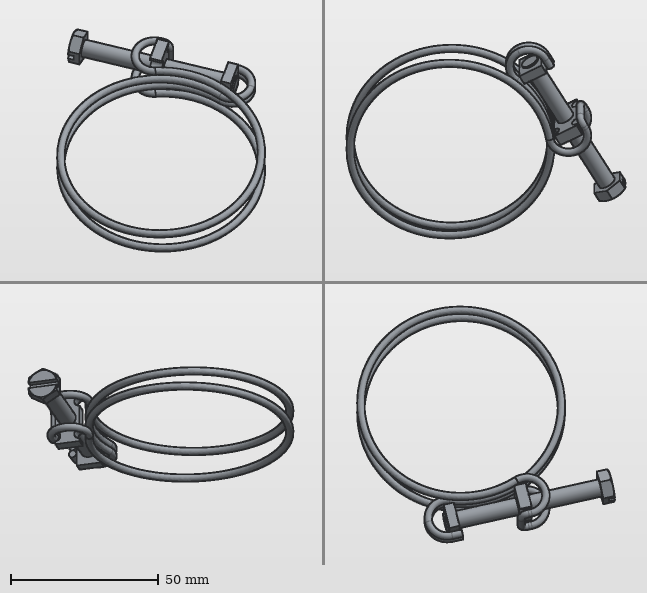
import cadquery as cq
import math


wire_radius = 1.3
coil_radius = 34.0
hook_radius = 6.475
junction_angle = 20.0
outer_level = 6.1
inner_level = wire_radius
tail_length = 3.7
yoke_bend_radius = 2.45
yoke_cross_x = -10.4

hook_x = (coil_radius + hook_radius) * math.sin(math.radians(junction_angle))
hook_y = (coil_radius + hook_radius) * math.cos(math.radians(junction_angle))
hook_top_y = hook_y + hook_radius
junction_x = coil_radius * math.sin(math.radians(junction_angle))
junction_y = coil_radius * math.cos(math.radians(junction_angle))

block_width = 8.6
block_top_y = hook_top_y - wire_radius
block_y = block_top_y - block_width / 2
saddle_x = -14.35
saddle_thickness = 4.1
saddle_height = 18.0
groove_radius = 1.8
nut_x = 10.75
nut_thickness = 3.5
nut_height = 11.2

screw_y = block_y
shank_diameter = 6.0
shank_length = 54.0
overall_length = 78.52
head_x = coil_radius + wire_radius - overall_length
head_thickness = 4.1
head_flats = 10.0
head_corners = head_flats / math.cos(math.pi / 6)
head_chamfer_angle = 30.0
slot_width = 2.0
slot_depth = 2.1


def wire_along(path, start, direction):
    """Round wire swept along a path, starting square to the given direction."""
    section = cq.Plane(origin=start, xDir=(0, 0, 1), normal=direction)
    return cq.Workplane(section).circle(wire_radius).sweep(path)


def make_coil():
    """Upper coil: rises from the nut-end hook, round more than one turn to the yoke."""
    turn_angle = 360 + 2 * junction_angle
    rise = outer_level - inner_level
    pitch = rise * 360 / turn_angle
    start_angle = 90 - junction_angle
    helix = cq.Wire.makeHelix(pitch, rise, coil_radius)
    coil = (
        cq.Workplane("XZ")
        .center(coil_radius, 0)
        .circle(wire_radius)
        .sweep(cq.Workplane(obj=helix), isFrenet=True)
    )
    return coil.rotate((0, 0, 0), (0, 0, 1), start_angle).translate((0, 0, inner_level))


def make_nut_hook():
    """Hook from the coil junction round to the straight tail across the nut plate."""
    bend = math.radians((junction_angle - 90) / 2)
    path = (
        cq.Workplane("XY", origin=(0, 0, inner_level))
        .moveTo(hook_x - tail_length, hook_top_y)
        .lineTo(hook_x, hook_top_y)
        .radiusArc((hook_x + hook_radius, hook_y), hook_radius)
        .threePointArc(
            (hook_x + hook_radius * math.cos(bend), hook_y + hook_radius * math.sin(bend)),
            (junction_x, junction_y),
        )
    )
    return wire_along(path, (hook_x - tail_length, hook_top_y, inner_level), (1, 0, 0))


def make_wire():
    """One wire: a coil running into its hook at the nut plate."""
    return make_coil().union(make_nut_hook())


def make_yoke():
    """Two hooks behind the saddle block, joined by a cross bar along Z."""
    arm_path = (
        cq.Workplane("XY", origin=(0, 0, outer_level))
        .moveTo(-junction_x, junction_y)
        .threePointArc((-hook_x - hook_radius, hook_y), (-hook_x, hook_top_y))
        .lineTo(yoke_cross_x - yoke_bend_radius, hook_top_y)
    )
    along_junction = (
        -math.cos(math.radians(junction_angle)),
        -math.sin(math.radians(junction_angle)),
        0,
    )
    arm = wire_along(arm_path, (-junction_x, junction_y, outer_level), along_junction)

    bend_start_x = yoke_cross_x - yoke_bend_radius
    bend_end_z = outer_level - yoke_bend_radius
    bend_mid = yoke_bend_radius / math.sqrt(2)
    cross_path = (
        cq.Workplane("XZ", origin=(0, hook_top_y, 0))
        .moveTo(bend_start_x, outer_level)
        .threePointArc((bend_start_x + bend_mid, bend_end_z + bend_mid), (yoke_cross_x, bend_end_z))
        .lineTo(yoke_cross_x, -bend_end_z)
        .threePointArc((bend_start_x + bend_mid, -bend_end_z - bend_mid), (bend_start_x, -outer_level))
    )
    cross_bar = wire_along(cross_path, (bend_start_x, hook_top_y, outer_level), (1, 0, 0))
    return cross_bar.union(arm).union(arm.mirror("XY"))


def make_block(x, thickness, height):
    """Block across the screw, with a round hole that the shank fills."""
    block = cq.Workplane("XY").box(thickness, block_width, height, centered=(False, True, True))
    hole = cq.Workplane("YZ").circle(shank_diameter / 2).extrude(thickness)
    return block.cut(hole).translate((x, block_y, 0))


def make_saddle():
    """Tall block with half-round grooves along X, level with the yoke arms, in both Y faces."""
    saddle = make_block(saddle_x, saddle_thickness, saddle_height)
    grooves = (
        cq.Workplane("YZ", origin=(saddle_x, block_y, 0))
        .rect(block_width, 2 * outer_level, forConstruction=True)
        .vertices()
        .circle(groove_radius)
        .extrude(saddle_thickness)
    )
    return saddle.cut(grooves)


def make_nut_plate():
    return make_block(nut_x, nut_thickness, nut_height)


def make_screw():
    """Slotted hexagon-head screw, its head toward -X with flats facing +Y and -Y."""
    face = cq.Workplane("YZ", origin=(head_x, screw_y, 0))
    head = face.transformed(rotate=(0, 0, 90)).polygon(6, head_corners).extrude(head_thickness)

    cone_rise = head_thickness / math.tan(math.radians(head_chamfer_angle))
    cone = cq.Workplane(
        cq.Solid.makeCone(
            head_flats / 2,
            head_flats / 2 + cone_rise,
            head_thickness,
            cq.Vector(head_x, screw_y, 0),
            cq.Vector(1, 0, 0),
        )
    )
    slot = face.rect(head_corners, slot_width).extrude(slot_depth)
    shank = face.workplane(offset=head_thickness).circle(shank_diameter / 2).extrude(shank_length)
    return head.intersect(cone).cut(slot).union(shank)


upper_wire = make_wire()
lower_wire = upper_wire.mirror("XY")
bodies = [upper_wire, lower_wire, make_yoke(), make_saddle(), make_nut_plate(), make_screw()]

result = cq.Compound.makeCompound([body.solids().val() for body in bodies])